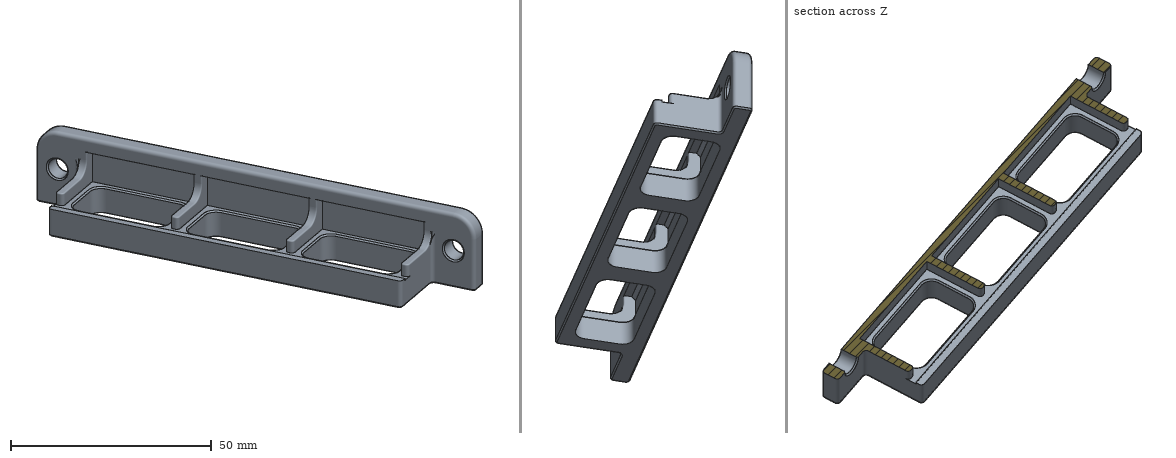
import cadquery as cq
import math

PLATE_LENGTH = 121.85
PLATE_HEIGHT = 20.0
PLATE_THICKNESS = 5.0
PLATE_CORNER_RADIUS = 6.0
EDGE_RADIUS = 1.0
BOTTOM_CHAMFER = 0.4

HOLE_DIAMETER = 5.3
HOLE_CHAMFER = 0.4
HOLE_X = PLATE_LENGTH / 2 - PLATE_CORNER_RADIUS
HOLE_Z = 10.0

TRAY_LENGTH = 98.0
TRAY_FRONT_Y = -22.25
FLOOR_TOP = 7.0
LIP_TOP = 7.5
LIP_THICKNESS = 2.0

BAY_COUNT = 3
RIB_THICKNESS = 2.3
RIB_TOP = 10.25
RIB_FRONT_Y = -18.25
RIB_FRONT_RADIUS = 0.95
RIB_ROOT_RADIUS = 3.75
RIB_CREST_RADIUS = 0.35
BAY_PITCH = (TRAY_LENGTH - RIB_THICKNESS) / BAY_COUNT
BAY_WIDTH = BAY_PITCH - RIB_THICKNESS
RIB_XS = [(i - BAY_COUNT / 2) * BAY_PITCH for i in range(BAY_COUNT + 1)]
BAY_XS = [(i - (BAY_COUNT - 1) / 2) * BAY_PITCH for i in range(BAY_COUNT)]

RECESS_BACK_Y = -2.0
RECESS_TOP = 16.25
RECESS_CHAMFER = 1.0

OPENING_LENGTH = 26.2
OPENING_FRONT_Y = -18.65
OPENING_BACK_Y = -3.6
OPENING_CORNER_RADIUS = 3.0
OPENING_CHAMFER = 0.4


def block(x_min, x_max, y_min, y_max, z_min, z_max):
    """Axis-aligned box from its limits."""
    size = (x_max - x_min, y_max - y_min, z_max - z_min)
    return cq.Workplane("XY").box(*size, centered=False).translate((x_min, y_min, z_min))


def face_plate():
    """Plate with rounded top corners and rounded front and back edges."""
    half = PLATE_LENGTH / 2
    plate = block(-half, half, -PLATE_THICKNESS, 0, 0, PLATE_HEIGHT)
    plate = plate.edges("|Y and >Z").fillet(PLATE_CORNER_RADIUS)
    return plate.faces("<Y or >Y").edges("not(<Z)").fillet(EDGE_RADIUS)


def tray():
    """Floor slab with a raised lip along its front."""
    half = TRAY_LENGTH / 2
    slab = block(-half, half, TRAY_FRONT_Y, -PLATE_THICKNESS, 0, LIP_TOP)
    slab = slab.edges("|Z and <Y").fillet(EDGE_RADIUS)
    lip_back_y = TRAY_FRONT_Y + LIP_THICKNESS
    return slab.cut(block(-half, half, lip_back_y, -PLATE_THICKNESS, FLOOR_TOP, LIP_TOP))


def rib():
    """Rib centred on x = 0 that sweeps up the plate and divides the recesses behind its face."""
    root_y = -PLATE_THICKNESS
    arc_offset = RIB_ROOT_RADIUS * (1 - math.sqrt(0.5))
    body = (
        cq.Workplane("YZ")
        .moveTo(RECESS_BACK_Y, FLOOR_TOP)
        .lineTo(RIB_FRONT_Y, FLOOR_TOP)
        .lineTo(RIB_FRONT_Y, RIB_TOP)
        .lineTo(root_y - RIB_ROOT_RADIUS, RIB_TOP)
        .threePointArc(
            (root_y - arc_offset, RIB_TOP + arc_offset),
            (root_y, RIB_TOP + RIB_ROOT_RADIUS),
        )
        .lineTo(root_y, RECESS_TOP)
        .lineTo(RECESS_BACK_Y, RECESS_TOP)
        .close()
        .extrude(RIB_THICKNESS / 2, both=True)
    )
    body = body.faces("<Y").edges("|Z").fillet(RIB_FRONT_RADIUS)
    crest_middle = (0, (RIB_FRONT_Y + root_y) / 2, RIB_TOP)
    crest = body.faces(cq.selectors.NearestToPointSelector(crest_middle))
    return crest.edges("not(>Y)").fillet(RIB_CREST_RADIUS)


def end_flare():
    """Concave fillet between the tray's +X end and the plate, topped by the rib's sweep."""
    end_x = TRAY_LENGTH / 2
    root_y = -PLATE_THICKNESS
    arc_inset = EDGE_RADIUS * (1 - math.sqrt(0.5))
    flare = (
        cq.Workplane("XY")
        .moveTo(end_x, root_y)
        .lineTo(end_x, root_y - EDGE_RADIUS)
        .threePointArc(
            (end_x + arc_inset, root_y - arc_inset),
            (end_x + EDGE_RADIUS, root_y),
        )
        .close()
        .extrude(RIB_TOP + RIB_ROOT_RADIUS)
    )
    sweep = (
        cq.Workplane("YZ")
        .center(root_y - RIB_ROOT_RADIUS, RIB_TOP + RIB_ROOT_RADIUS)
        .circle(RIB_ROOT_RADIUS)
        .extrude(PLATE_LENGTH)
    )
    return flare.cut(sweep)


def recess():
    """Pocket in the plate, centred on x = 0, with a chamfer where its roof meets its back."""
    half = BAY_WIDTH / 2 + RIB_CREST_RADIUS
    return (
        cq.Workplane("YZ")
        .moveTo(-PLATE_THICKNESS, FLOOR_TOP)
        .lineTo(-PLATE_THICKNESS, RECESS_TOP)
        .lineTo(RECESS_BACK_Y - RECESS_CHAMFER, RECESS_TOP)
        .lineTo(RECESS_BACK_Y, RECESS_TOP - RECESS_CHAMFER)
        .lineTo(RECESS_BACK_Y, FLOOR_TOP)
        .close()
        .extrude(half, both=True)
    )


def opening():
    """Rounded opening through the floor, centred on x = 0, with a chamfered upper rim."""
    half = OPENING_LENGTH / 2
    hole = block(-half, half, OPENING_FRONT_Y, OPENING_BACK_Y, 0, FLOOR_TOP)
    hole = hole.edges("|Z").fillet(OPENING_CORNER_RADIUS)
    rim = (
        hole.faces(">Z").wires().toPending()
        .workplane()
        .offset2D(OPENING_CHAMFER)
        .extrude(-OPENING_CHAMFER, taper=45)
    )
    return hole.union(rim)


def mounting_hole():
    """Hole through the plate at x = 0 with a chamfered front rim."""
    radius = HOLE_DIAMETER / 2
    drill = cq.Workplane("XZ", origin=(0, 0, HOLE_Z)).circle(radius).extrude(PLATE_THICKNESS)
    return drill.union(
        cq.Workplane("XZ", origin=(0, -PLATE_THICKNESS, HOLE_Z))
        .circle(radius + HOLE_CHAMFER)
        .extrude(-HOLE_CHAMFER, taper=45)
    )


flare = end_flare()
result = face_plate().union(tray()).union(flare).union(flare.mirror("YZ"))
result = result.faces("<Z").edges().chamfer(BOTTOM_CHAMFER)
for bay_x in BAY_XS:
    result = result.cut(recess().translate((bay_x, 0, 0)))
for rib_x in RIB_XS:
    result = result.union(rib().translate((rib_x, 0, 0)))
for bay_x in BAY_XS:
    result = result.cut(opening().translate((bay_x, 0, 0)))
for hole_x in (-HOLE_X, HOLE_X):
    result = result.cut(mounting_hole().translate((hole_x, 0, 0)))